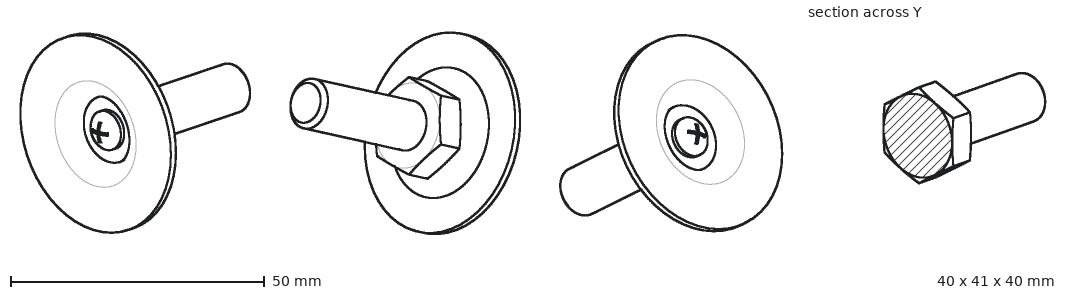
import cadquery as cq
import math

total_length = 41
plate_diameter = 40.0
plate_thickness = 1.5

cone_base_radius = 13.05
cone_tip_radius = 6.45
cone_tip_y = 4.9
recess_floor_radius = 6.75
recess_depth = 4.0

head_radius = 8.0 / 2
head_rim_height = 1.0
dome_height = 2.2

cross_length = 4.0
cross_width = 0.5
cross_depth = 1.0

nut_across_flats = 17.0
nut_start_y = 4.8
nut_thickness = 6.2
nut_chamfer_angle = 16
shank_radius = 10.0 / 2
shank_chamfer = 1.02


def revolve_about_y(profile):
    """Turn a closed (radius, y) profile around the Y axis."""
    return profile.close().revolve(360, (0, 0, 0), (0, 1, 0))


def make_plate():
    flare_centre_radius = recess_floor_radius + recess_depth
    arc_offset = recess_depth * math.sqrt(0.5)
    arc_middle = (flare_centre_radius - arc_offset, recess_depth - arc_offset)
    plate_radius = plate_diameter / 2
    profile = (
        cq.Workplane("XY")
        .moveTo(0, recess_depth)
        .lineTo(recess_floor_radius, recess_depth)
        .threePointArc(arc_middle, (flare_centre_radius, 0))
        .lineTo(plate_radius, 0)
        .lineTo(plate_radius, plate_thickness)
        .lineTo(cone_base_radius, plate_thickness)
        .lineTo(cone_tip_radius, cone_tip_y)
        .lineTo(0, cone_tip_y)
    )
    return revolve_about_y(profile)


def make_head():
    rim_y = recess_depth - head_rim_height
    top_y = rim_y - dome_height
    dome_radius = (head_radius**2 + dome_height**2) / (2 * dome_height)
    middle_radius = head_radius / 2
    middle_y = top_y + dome_radius - math.sqrt(dome_radius**2 - middle_radius**2)
    profile = (
        cq.Workplane("XY")
        .moveTo(0, cone_tip_y)
        .lineTo(head_radius, cone_tip_y)
        .lineTo(head_radius, rim_y)
        .threePointArc((middle_radius, middle_y), (0, top_y))
    )
    slot_centre = (0, top_y + cross_depth / 2, 0)
    head = revolve_about_y(profile)
    for size_x, size_z in ((cross_length, cross_width), (cross_width, cross_length)):
        slot = cq.Workplane("XY").box(size_x, cross_depth, size_z).translate(slot_centre)
        head = head.cut(slot)
    return head


def make_nut():
    corner_radius = nut_across_flats / 2 / math.cos(math.pi / 6)
    face_radius = nut_across_flats / 2
    drop = (corner_radius - face_radius) * math.tan(math.radians(nut_chamfer_angle))
    nut_end_y = nut_start_y + nut_thickness
    hexagon = (
        cq.Workplane("XZ", origin=(0, nut_start_y, 0))
        .polygon(6, 2 * corner_radius)
        .extrude(-nut_thickness)
        .rotate((0, 0, 0), (0, 1, 0), 90)
    )
    chamfer_envelope = revolve_about_y(
        cq.Workplane("XY")
        .moveTo(0, nut_start_y)
        .lineTo(face_radius, nut_start_y)
        .lineTo(corner_radius, nut_start_y + drop)
        .lineTo(corner_radius, nut_end_y - drop)
        .lineTo(face_radius, nut_end_y)
        .lineTo(0, nut_end_y)
    )
    return hexagon.intersect(chamfer_envelope)


def make_shank():
    shank = (
        cq.Workplane("XZ", origin=(0, cone_tip_y, 0))
        .circle(shank_radius)
        .extrude(cone_tip_y - total_length)
    )
    return shank.faces(">Y").chamfer(shank_chamfer)


result = make_plate().union(make_nut()).union(make_shank()).union(make_head())